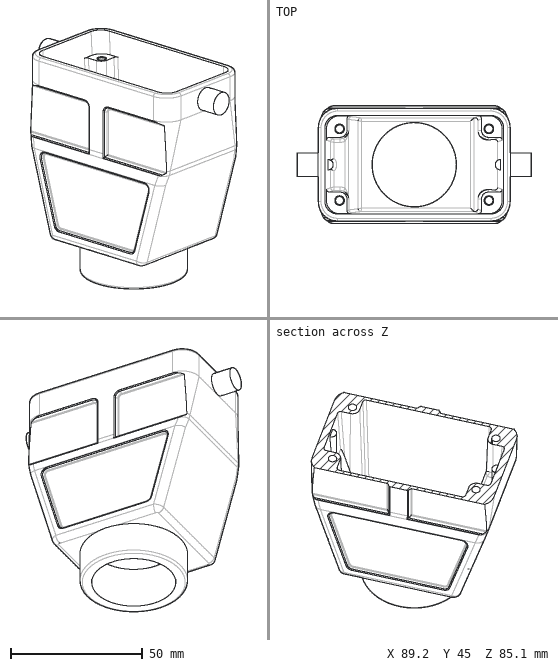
import cadquery as cq
SPIGOT_HEIGHT = 13.1
FLOOR_Z = 16.95
SHOULDER_Z = 48.5
LEDGE_Z = 51.7
WAIST_LOW_Z = 52.5
WAIST_HIGH_Z = 54.4
BAND_Z = 74.3
HEIGHT = 85.1

BAND_LENGTH, BAND_WIDTH, BAND_RADIUS = 73.1, 43.0, 7.4
WAIST_HIGH_LENGTH = 70.2
WAIST_LOW_LENGTH, WAIST_LOW_WIDTH = 69.6, 43.35
BASE_LENGTH = 47.3
LOWER_WIDTH = 45.0
LOWER_RADIUS = 2.9
BASE_FILLET = 2.4
RIM_FILLET = 1.1

SPIGOT_DIAMETER = 41.0
SPIGOT_FILLET = 0.9
BORE_DIAMETER = 32.0

PIN_SPAN = 89.2
PIN_DIAMETER = 9.0
PIN_Z = 78.9

RIB_WIDTH = 7.0
UPPER_PANEL_FACE = 20.2
UPPER_PANEL_BOTTOM, UPPER_PANEL_TOP = 52.6, 74.0
UPPER_PANEL_RADIUS = 2.7
LOWER_PANEL_BOTTOM = 17.7
LOWER_PANEL_TOP = 48.35
LOWER_PANEL_INSET = 4.9
LOWER_PANEL_RADIUS = 2.7
LOWER_PANEL_DEPTH = 1.1
PANEL_LIP_DEPTH = 0.3
PANEL_LIP_TAPER = 60.0
PANEL_WALL_TAPER = 35.0
PANEL_FLOOR_FILLET = 0.45

MOUTH_LENGTH, MOUTH_WIDTH, MOUTH_RADIUS = 68.15, 37.55, 4.9
WALL_LOW_X = 31.75
FLOOR_WIDTH = 35.7
CHAMBER_BEND_Z = 49.1
CHAMBER_LEFT_TOP = -25.15
CHAMBER_LEFT_FLOOR, CHAMBER_RIGHT_FLOOR = -21.2, 22.4
CHAMBER_FILLET = 1.3
LEDGE_FILLET = 1.3

POST_X, POST_Y = 25.6, 10.4
POST_BLOCK = 17.8
POST_TOP = 75.6
POST_RADIUS = 2.7
POST_DRAFT = 1.5
POST_FOOT_FILLET = 1.1
SCREW_X, SCREW_Y = 28.45, 13.65
SCREW_DIAMETER, SCREW_MOUTH_DIAMETER = 3.0, 3.7
SCREW_DEPTH = 13.4
SCREW_MOUTH_TAPER = 45.0
LUG_RADIUS = 2.0
LUG_X = 32.8
LUG_TOP = 67.35

SELECTION_MARGIN = 0.1


def rounded_loft(low_z, low, high_z, high):
    """Solid between two centred rounded rectangles given as (length, width, radius)."""
    sketches = []
    for z, (length, width, radius) in ((low_z, low), (high_z, high)):
        outline = cq.Sketch().rect(length, width).vertices().fillet(radius)
        sketches.append(outline.moved(cq.Location(cq.Vector(0, 0, z))))
    return cq.Workplane("XY").placeSketch(*sketches).loft(ruled=True)


def lower_length(z):
    """Length of the tapered lower body at height z."""
    share = (z - SPIGOT_HEIGHT) / (WAIST_LOW_Z - SPIGOT_HEIGHT)
    return BASE_LENGTH + share * (WAIST_LOW_LENGTH - BASE_LENGTH)


def outer_shell():
    band = (BAND_LENGTH, BAND_WIDTH, BAND_RADIUS)
    waist_high = (WAIST_HIGH_LENGTH, BAND_WIDTH, LOWER_RADIUS)
    waist_low = (WAIST_LOW_LENGTH, WAIST_LOW_WIDTH, LOWER_RADIUS)
    shoulder = (lower_length(SHOULDER_Z), LOWER_WIDTH, LOWER_RADIUS)
    base = (BASE_LENGTH, LOWER_WIDTH, LOWER_RADIUS)
    lower = rounded_loft(SPIGOT_HEIGHT, base, SHOULDER_Z, shoulder)
    lower = lower.faces("<Z").edges().fillet(BASE_FILLET)
    shell = lower.union(rounded_loft(SHOULDER_Z, shoulder, WAIST_LOW_Z, waist_low))
    shell = shell.union(rounded_loft(WAIST_LOW_Z, waist_low, WAIST_HIGH_Z, waist_high))
    shell = shell.union(rounded_loft(WAIST_HIGH_Z, waist_high, BAND_Z, band))
    rim = rounded_loft(BAND_Z, band, HEIGHT, band)
    return shell.union(rim.faces(">Z").edges().fillet(RIM_FILLET))


def spigot():
    tube = cq.Workplane("XY").circle(SPIGOT_DIAMETER / 2).extrude(FLOOR_Z)
    return tube.faces("<Z").edges().fillet(SPIGOT_FILLET)


def pins():
    wall_middle = (BAND_LENGTH + MOUTH_LENGTH) / 4
    pin = (
        cq.Workplane("YZ", origin=(wall_middle, 0, PIN_Z))
        .circle(PIN_DIAMETER / 2)
        .extrude(PIN_SPAN / 2 - wall_middle)
    )
    return pin.union(pin.mirror("YZ"))


def both_faces(tool):
    return tool.union(tool.mirror("XZ"))


def sink(outline, depth):
    """Panel cutter from a -Y outline: a shallow bevelled lip, steeper walls, a rounded floor edge."""
    lip = outline.extrude(-PANEL_LIP_DEPTH, taper=PANEL_LIP_TAPER)
    walls = (
        lip.faces(">Y").wires().toPending().workplane()
        .extrude(depth - PANEL_LIP_DEPTH, taper=PANEL_WALL_TAPER)
    )
    return walls.faces(">Y").edges().fillet(PANEL_FLOOR_FILLET)


def upper_panel(side):
    """Cutter for the panel on one side (-1 or 1) of the -Y rib.

    It runs out past the end of the shell, and out past the wider lower body.
    """
    height = UPPER_PANEL_TOP - UPPER_PANEL_BOTTOM
    depth = BAND_WIDTH / 2 - UPPER_PANEL_FACE
    outline = (
        cq.Workplane("XZ", origin=(0, -BAND_WIDTH / 2, UPPER_PANEL_BOTTOM + height / 2))
        .center(side * (RIB_WIDTH + BAND_LENGTH) / 2, 0)
        .sketch().rect(BAND_LENGTH, height).vertices(">Y").fillet(UPPER_PANEL_RADIUS).finalize()
    )
    clearance = outline.extrude(LOWER_WIDTH - BAND_WIDTH)
    return sink(outline, depth).union(clearance)


def lower_panel():
    """Cutter for the -Y trapezoid panel, its ends parallel to the tapered sides."""
    bottom = lower_length(LOWER_PANEL_BOTTOM) / 2 - LOWER_PANEL_INSET
    top = lower_length(LOWER_PANEL_TOP) / 2 - LOWER_PANEL_INSET
    corners = [
        (-bottom, LOWER_PANEL_BOTTOM),
        (bottom, LOWER_PANEL_BOTTOM),
        (top, LOWER_PANEL_TOP),
        (-top, LOWER_PANEL_TOP),
    ]
    outline = (
        cq.Workplane("XZ", origin=(0, -LOWER_WIDTH / 2, 0))
        .sketch().polygon(corners + corners[:1]).vertices().fillet(LOWER_PANEL_RADIUS).finalize()
    )
    return sink(outline, LOWER_PANEL_DEPTH)


def posts():
    """Four corner posts that widen downwards; the cavity walls limit them on the outside."""
    spacing_x = 2 * POST_X + POST_BLOCK
    spacing_y = 2 * POST_Y + POST_BLOCK
    return (
        cq.Workplane("XY", origin=(0, 0, POST_TOP))
        .sketch().rarray(spacing_x, spacing_y, 2, 2).rect(POST_BLOCK, POST_BLOCK)
        .reset().vertices().fillet(POST_RADIUS).finalize()
        .extrude(SPIGOT_HEIGHT - POST_TOP, taper=-POST_DRAFT)
    )


def lugs():
    return (
        cq.Workplane("XY", origin=(0, 0, FLOOR_Z))
        .pushPoints([(-LUG_X, 0), (LUG_X, 0)])
        .circle(LUG_RADIUS)
        .extrude(LUG_TOP - FLOOR_Z)
    )


def cavity_envelope():
    """Open space of the cavity, before the posts and lugs stand in it."""
    profile = [
        (CHAMBER_LEFT_FLOOR, FLOOR_Z),
        (CHAMBER_RIGHT_FLOOR, FLOOR_Z),
        (WALL_LOW_X, CHAMBER_BEND_Z),
        (MOUTH_LENGTH / 2, HEIGHT),
        (-MOUTH_LENGTH / 2, HEIGHT),
        (-WALL_LOW_X, LEDGE_Z),
        (CHAMBER_LEFT_TOP, LEDGE_Z),
    ]
    cross_section = [
        (-FLOOR_WIDTH / 2, FLOOR_Z),
        (FLOOR_WIDTH / 2, FLOOR_Z),
        (MOUTH_WIDTH / 2, HEIGHT),
        (-MOUTH_WIDTH / 2, HEIGHT),
    ]
    along_y = cq.Workplane("XZ").polyline(profile).close().extrude(MOUTH_WIDTH, both=True)
    along_x = cq.Workplane("YZ").polyline(cross_section).close().extrude(MOUTH_LENGTH, both=True)
    space = along_y.intersect(along_x)
    mouth_corners = cq.selectors.BoxSelector(
        (-BAND_LENGTH, -BAND_WIDTH, WAIST_HIGH_Z), (BAND_LENGTH, BAND_WIDTH, BAND_Z)
    )
    space = space.edges(mouth_corners).fillet(MOUTH_RADIUS)
    return space.faces("<Z").edges().fillet(CHAMBER_FILLET)


def post_wall_edges(space):
    """Upright edges where the posts meet the cavity walls."""
    near_end_wall = POST_X + 2 * POST_RADIUS
    near_side_wall = SCREW_Y + POST_RADIUS
    edges = []
    for edge in space.edges().vals():
        box = edge.BoundingBox()
        middle = edge.Center()
        on_side_wall = abs(middle.y) > near_side_wall
        on_end_wall = abs(middle.x) > near_end_wall and abs(middle.y) < SCREW_Y
        reaches_post_top = abs(box.zmax - POST_TOP) < SELECTION_MARGIN
        is_upright = box.zlen > POST_BLOCK
        if reaches_post_top and is_upright and (on_side_wall or on_end_wall):
            edges.append(edge)
    return edges


def cavity():
    space = cavity_envelope().cut(posts()).cut(lugs())
    space = space.newObject(post_wall_edges(space)).fillet(POST_FOOT_FILLET)
    ledge = cq.selectors.BoxSelector(
        (-LUG_X, -POST_Y, LEDGE_Z - SELECTION_MARGIN),
        (CHAMBER_LEFT_TOP, POST_Y, LEDGE_Z + SELECTION_MARGIN),
    )
    return space.faces(ledge).faces("|Z").edges().fillet(LEDGE_FILLET)


def screw_holes():
    points = [(x, y) for x in (-SCREW_X, SCREW_X) for y in (-SCREW_Y, SCREW_Y)]
    plane = cq.Workplane("XY", origin=(0, 0, POST_TOP)).pushPoints(points)
    holes = plane.circle(SCREW_DIAMETER / 2).extrude(-SCREW_DEPTH)
    lead_in = (SCREW_MOUTH_DIAMETER - SCREW_DIAMETER) / 2
    mouths = plane.circle(SCREW_MOUTH_DIAMETER / 2).extrude(-lead_in, taper=SCREW_MOUTH_TAPER)
    return holes.union(mouths)


def cable_bore():
    """Through hole from the spigot end into the cavity."""
    return cq.Workplane("XY").circle(BORE_DIAMETER / 2).extrude(FLOOR_Z + CHAMBER_FILLET)


result = outer_shell().union(spigot()).union(pins())
for panel in (upper_panel(-1), upper_panel(1), lower_panel()):
    result = result.cut(both_faces(panel))
result = result.cut(cavity()).cut(screw_holes()).cut(cable_bore())
result = result.solids()